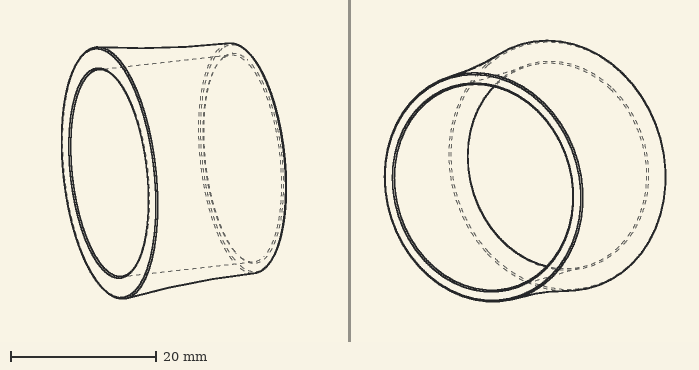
import cadquery as cq

front_radius = 17.42
back_radius = 15.93
bore_radius = 14.32
length = 20.0
edge_chamfer = 0.2

flare_length = length - 2 * edge_chamfer
flare_rise = front_radius - back_radius
flare_radius = (flare_length**2 + flare_rise**2) / (2 * flare_rise)
mid_offset = flare_length / 2
mid_rise = flare_radius - (flare_radius**2 - mid_offset**2) ** 0.5

section = (
    cq.Workplane("XY")
    .moveTo(bore_radius + edge_chamfer, 0)
    .lineTo(front_radius - edge_chamfer, 0)
    .lineTo(front_radius, edge_chamfer)
    .threePointArc(
        (back_radius + mid_rise, length / 2),
        (back_radius, length - edge_chamfer),
    )
    .lineTo(back_radius - edge_chamfer, length)
    .lineTo(bore_radius + edge_chamfer, length)
    .lineTo(bore_radius, length - edge_chamfer)
    .lineTo(bore_radius, edge_chamfer)
    .close()
)

result = section.revolve(360, (0, 0, 0), (0, 1, 0))